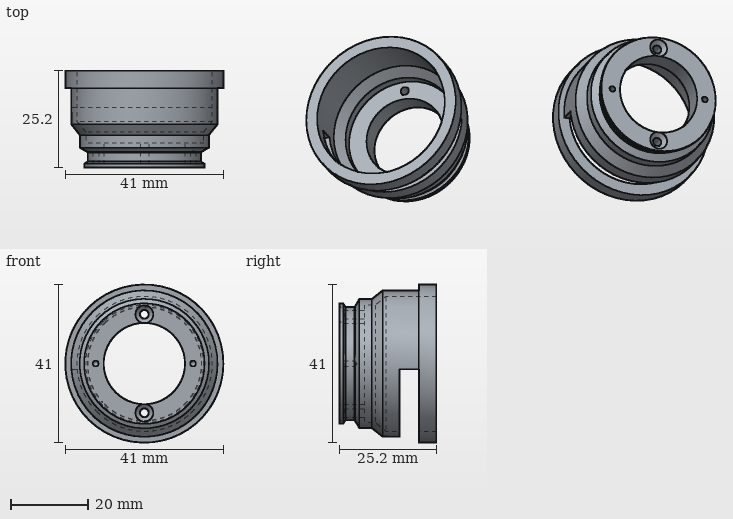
import cadquery as cq

TOTAL_LENGTH = 25.15

FLANGE_RADIUS = 20.5
BODY_RADIUS = 18.95
SHOULDER_RADIUS = 16.75
GROOVE_RADIUS = 14.7
GROOVE_CORNER_FILLET = 0.2
LIP_RADIUS = 15.6

LIP_END = 1.0
GROOVE_START = 1.55
GROOVE_END = 4.0
SHOULDER_START = 5.2
SHOULDER_END = 8.45
BODY_START = 11.2
FLANGE_THICKNESS = 4.55
FLANGE_START = TOTAL_LENGTH - FLANGE_THICKNESS

BORE_RADIUS = 10.5
BORE_LENGTH = 6.4
CAVITY_FRONT_RADIUS = 15.25
CAVITY_REAR_RADIUS = 17.5
CAVITY_CONE_START = 9.25
CAVITY_CONE_END = 12.0

WINDOW_WIDTH = 5.0
WINDOW_TOP_Z = -1.5

SCREW_OFFSET = 12.75
SCREW_HOLE_DIAMETER = 2.2
COUNTERSINK_DIAMETER = 4.6
COUNTERSINK_ANGLE = 90.0

PIN_OFFSET = 12.6
PIN_HOLE_RADIUS = 0.75
PIN_HOLE_DEPTH = 4.0
PIN_TIP_LENGTH = 0.45


def turned_body():
    """Revolve the wall section, given as (radius, distance from the front)."""
    outside = [
        (LIP_RADIUS, 0),
        (LIP_RADIUS, LIP_END),
        (GROOVE_RADIUS, GROOVE_START),
        (GROOVE_RADIUS, GROOVE_END),
        (SHOULDER_RADIUS, SHOULDER_START),
        (SHOULDER_RADIUS, SHOULDER_END),
        (BODY_RADIUS, BODY_START),
        (BODY_RADIUS, FLANGE_START),
        (FLANGE_RADIUS, FLANGE_START),
        (FLANGE_RADIUS, TOTAL_LENGTH),
    ]
    inside = [
        (CAVITY_REAR_RADIUS, TOTAL_LENGTH),
        (CAVITY_REAR_RADIUS, CAVITY_CONE_END),
        (CAVITY_FRONT_RADIUS, CAVITY_CONE_START),
        (CAVITY_FRONT_RADIUS, BORE_LENGTH),
        (BORE_RADIUS, BORE_LENGTH),
        (BORE_RADIUS, 0),
    ]
    section = cq.Workplane("XY").polyline(outside + inside).close()
    ring = section.revolve(360, (0, 0, 0), (0, 1, 0))
    cone_middle = (LIP_END + GROOVE_START) / 2
    groove_corners = cq.selectors.BoxSelector(
        (-LIP_RADIUS, cone_middle, -LIP_RADIUS),
        (LIP_RADIUS, SHOULDER_START, LIP_RADIUS),
        boundingbox=True,
    )
    return ring.edges("%CIRCLE").edges(groove_corners).fillet(GROOVE_CORNER_FILLET)


def window():
    """Box that removes the wall below WINDOW_TOP_Z in front of the flange."""
    window_start = FLANGE_START - WINDOW_WIDTH
    height = WINDOW_TOP_Z + FLANGE_RADIUS
    return (
        cq.Workplane("XY")
        .box(2 * FLANGE_RADIUS, WINDOW_WIDTH, height, centered=(True, False, False))
        .translate((0, window_start, -FLANGE_RADIUS))
    )


def pin_hole(x):
    """Blind drilled hole in the front face, ending in a cone."""
    tip_depth = PIN_HOLE_DEPTH + PIN_TIP_LENGTH
    half_section = [(0, 0), (PIN_HOLE_RADIUS, 0), (PIN_HOLE_RADIUS, PIN_HOLE_DEPTH), (0, tip_depth)]
    drill = cq.Workplane("XY").polyline(half_section).close().revolve(360, (0, 0, 0), (0, 1, 0))
    return drill.translate((x, 0, 0))


def screw_holes(body):
    """Cut the countersunk clearance holes through the front wall."""
    return (
        body.copyWorkplane(cq.Workplane("XZ"))
        .pushPoints([(0, SCREW_OFFSET), (0, -SCREW_OFFSET)])
        .cskHole(SCREW_HOLE_DIAMETER, COUNTERSINK_DIAMETER, COUNTERSINK_ANGLE, depth=BORE_LENGTH)
    )


result = turned_body().cut(window())
result = screw_holes(result)
for side in (-1, 1):
    result = result.cut(pin_hole(side * PIN_OFFSET))